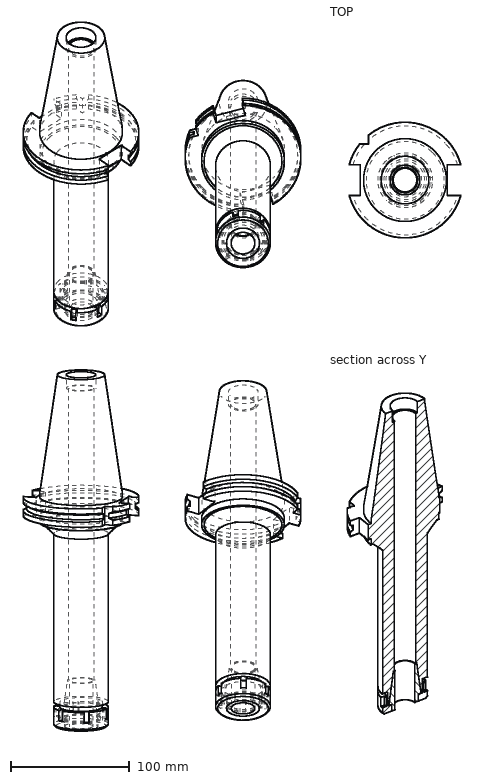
import cadquery as cq
import math

TOTAL_LENGTH = 301.8
TAPER_LENGTH = 101.7
TAPER_RATIO = 7 / 24
GAUGE_RADIUS = 69.7 / 2
GAUGE_Z = TOTAL_LENGTH - TAPER_LENGTH
TAPER_END_RADIUS = GAUGE_RADIUS - TAPER_LENGTH * TAPER_RATIO / 2

FLANGE_RADIUS = 97.5 / 2
GAUGE_TO_FLANGE = 3.3
FLANGE_TOP_Z = GAUGE_Z - GAUGE_TO_FLANGE
FLANGE_BOTTOM_Z = 181.0
GROOVE_Z = 189.0
GROOVE_RADIUS = 46.0
GROOVE_HALF_MOUTH = 7.0 / 2
GROOVE_HALF_FLOOR = 4.0 / 2

DRIVE_SLOT_WIDTH = 25.5
DRIVE_SLOT_FLOOR_LEFT = 37.7
DRIVE_SLOT_FLOOR_RIGHT = 35.5
NOTCH_X = -30.8
NOTCH_Y = 30.5

COLLAR_BOTTOM_Z = 175.0
SHANK_RADIUS = 46.2 / 2
SHANK_TOP_Z = 165.5
CONE_TOP_RADIUS = SHANK_RADIUS + COLLAR_BOTTOM_Z - SHANK_TOP_Z
SHANK_BOTTOM_Z = 20.8

NECK_RADIUS = 36.0 / 2
NECK_BOTTOM_Z = 6.5

MOUTH_BORE_RADIUS = 25.0 / 2
MOUTH_BORE_DEPTH = 11.2
THROUGH_BORE_RADIUS = 10.5

COLLET_BORE_RADIUS = 10.0
COLLET_NOSE_RADIUS = 14.0
COLLET_LARGE_RADIUS = 16.3
COLLET_TOP_Z = 39.2
COLLET_HALF_ANGLE = 8.0
COLLET_SMALL_RADIUS = COLLET_LARGE_RADIUS - (COLLET_TOP_Z - NECK_BOTTOM_Z) * math.tan(
    math.radians(COLLET_HALF_ANGLE)
)

NUT_RADIUS = SHANK_RADIUS
NUT_HEIGHT = 16.3
NUT_CHAMFER = 1.8
WRENCH_SLOT_COUNT = 6
WRENCH_SLOT_WIDTH = 4.5
WRENCH_SLOT_HEIGHT = 9.0
WRENCH_SLOT_DEPTH = 3.5


def revolve_profile(points):
    """Revolve a closed (radius, z) outline about the Z axis."""
    return cq.Workplane("YZ").polyline(points).close().revolve(360, (0, 0, 0), (0, 1, 0))


def box_between(low, high):
    """Axis-aligned box given by two opposite corners."""
    size = [b - a for a, b in zip(low, high)]
    return cq.Workplane("XY").box(*size, centered=False).translate(low)


def collet_taper():
    """Solid cone of the collet, also used to cut its seat in the holder."""
    return revolve_profile([
        (0, NECK_BOTTOM_Z),
        (COLLET_LARGE_RADIUS, NECK_BOTTOM_Z),
        (COLLET_SMALL_RADIUS, COLLET_TOP_Z),
        (0, COLLET_TOP_Z),
    ])


def make_holder_blank():
    """Turned outside of the holder with its stepped through bore."""
    return revolve_profile([
        (THROUGH_BORE_RADIUS, NECK_BOTTOM_Z),
        (NECK_RADIUS, NECK_BOTTOM_Z),
        (NECK_RADIUS, SHANK_BOTTOM_Z),
        (SHANK_RADIUS, SHANK_BOTTOM_Z),
        (SHANK_RADIUS, SHANK_TOP_Z),
        (CONE_TOP_RADIUS, COLLAR_BOTTOM_Z),
        (GAUGE_RADIUS, COLLAR_BOTTOM_Z),
        (GAUGE_RADIUS, FLANGE_BOTTOM_Z),
        (FLANGE_RADIUS, FLANGE_BOTTOM_Z),
        (FLANGE_RADIUS, GROOVE_Z - GROOVE_HALF_MOUTH),
        (GROOVE_RADIUS, GROOVE_Z - GROOVE_HALF_FLOOR),
        (GROOVE_RADIUS, GROOVE_Z + GROOVE_HALF_FLOOR),
        (FLANGE_RADIUS, GROOVE_Z + GROOVE_HALF_MOUTH),
        (FLANGE_RADIUS, FLANGE_TOP_Z),
        (GAUGE_RADIUS, FLANGE_TOP_Z),
        (GAUGE_RADIUS, GAUGE_Z),
        (TAPER_END_RADIUS, TOTAL_LENGTH),
        (MOUTH_BORE_RADIUS, TOTAL_LENGTH),
        (MOUTH_BORE_RADIUS, TOTAL_LENGTH - MOUTH_BORE_DEPTH),
        (THROUGH_BORE_RADIUS, TOTAL_LENGTH - MOUTH_BORE_DEPTH),
    ])


def make_flange_cutouts():
    """Two unequal drive slots and the corner notch, all through the flange height."""
    half_width = DRIVE_SLOT_WIDTH / 2
    left_slot = box_between(
        (-FLANGE_RADIUS, -half_width, FLANGE_BOTTOM_Z),
        (-DRIVE_SLOT_FLOOR_LEFT, half_width, FLANGE_TOP_Z),
    )
    right_slot = box_between(
        (DRIVE_SLOT_FLOOR_RIGHT, -half_width, FLANGE_BOTTOM_Z),
        (FLANGE_RADIUS, half_width, FLANGE_TOP_Z),
    )
    notch = box_between(
        (-FLANGE_RADIUS, NOTCH_Y, FLANGE_BOTTOM_Z),
        (NOTCH_X, FLANGE_RADIUS, FLANGE_TOP_Z),
    )
    return [left_slot, right_slot, notch]


def make_holder():
    """Taper, flange and shank in one body, with the collet seat at the lower end."""
    holder = make_holder_blank().cut(collet_taper())
    for cutout in make_flange_cutouts():
        holder = holder.cut(cutout)
    return holder


def make_collet():
    """Tapered collet with a cylindrical nose that fills the hole of the nut."""
    nose = cq.Workplane("XY").circle(COLLET_NOSE_RADIUS).extrude(NECK_BOTTOM_Z)
    bore = cq.Workplane("XY").circle(COLLET_BORE_RADIUS).extrude(COLLET_TOP_Z)
    return collet_taper().union(nose).cut(bore)


def make_nut():
    """Clamping nut with wrench slots that open at its upper face."""
    nut = revolve_profile([
        (COLLET_NOSE_RADIUS, 0),
        (NUT_RADIUS - NUT_CHAMFER, 0),
        (NUT_RADIUS, NUT_CHAMFER),
        (NUT_RADIUS, NUT_HEIGHT),
        (NECK_RADIUS, NUT_HEIGHT),
        (NECK_RADIUS, NECK_BOTTOM_Z),
        (COLLET_NOSE_RADIUS, NECK_BOTTOM_Z),
    ])
    slot = box_between(
        (NUT_RADIUS - WRENCH_SLOT_DEPTH, -WRENCH_SLOT_WIDTH / 2, NUT_HEIGHT - WRENCH_SLOT_HEIGHT),
        (NUT_RADIUS + WRENCH_SLOT_DEPTH, WRENCH_SLOT_WIDTH / 2, NUT_HEIGHT),
    )
    for index in range(WRENCH_SLOT_COUNT):
        angle = index * 360 / WRENCH_SLOT_COUNT
        nut = nut.cut(slot.rotate((0, 0, 0), (0, 0, 1), angle))
    return nut


holder = make_holder()
collet = make_collet()
nut = make_nut()

result = cq.Compound.makeCompound([holder.val(), collet.val(), nut.val()])